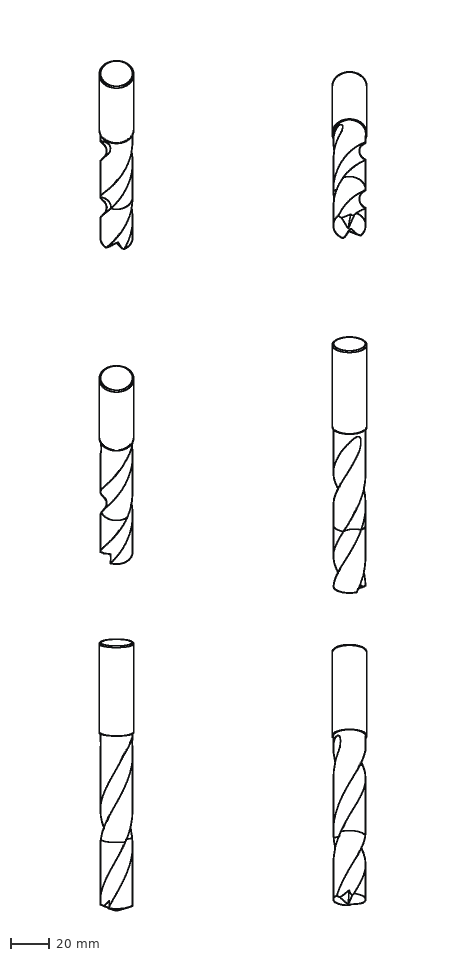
import cadquery as cq
import math

total_length = 143.0
shank_diameter = 18.0
shank_start = 95.1
shank_chamfer = 0.7
cutting_diameter = 16.9
point_angle = 140.0
split_height = 38.3

flute_count = 2
helix_lead = 96.5
flute_radius = 6.9
flute_floor_radius = 5.1
flute_phase_height = 23.3
helix_end = 84.0
runout_end = 91.0
runout_sideways = 5.6
runout_stretch = 1.5
flute_start = -1.5

gash_root = cq.Vector(-0.5, -0.6, 0.6)
gash_apex = cq.Vector(3.1, -5.1, 7.0)
gash_heel_edge = cq.Vector(-1.0, -6.0, 3.0)
gash_lip_edge = cq.Vector(4.7, -5.0, 2.7)
gash_overrun = 0.3
gash_stretch = 2.0

cutting_radius = cutting_diameter / 2
shank_radius = shank_diameter / 2
point_height = cutting_radius / math.tan(math.radians(point_angle / 2))
flute_offset = flute_floor_radius + flute_radius


def flute_angle(height):
    """Direction of the first flute, in degrees about Z, at a given height."""
    return 180 + 360 * (height - flute_phase_height) / helix_lead


def flute_section(height):
    """Circular flute section in the horizontal plane at a given height."""
    angle = math.radians(flute_angle(height))
    return (
        cq.Workplane("XY", origin=(0, 0, height))
        .moveTo(flute_offset * math.cos(angle), flute_offset * math.sin(angle))
        .circle(flute_radius)
    )


def helical_flute():
    """Twisted cutter for one flute, from below the tip to the end of the helix."""
    height = helix_end - flute_start
    return flute_section(flute_start).twistExtrude(height, 360 * height / helix_lead)


def flute_runout():
    """Straight cutter that leads the flute out through the drill surface."""
    rise = runout_end - helix_end
    outward = math.sqrt(cutting_radius**2 - runout_sideways**2) - flute_floor_radius
    angle = math.radians(flute_angle(helix_end))
    direction = cq.Vector(
        outward * math.cos(angle) - runout_sideways * math.sin(angle),
        outward * math.sin(angle) + runout_sideways * math.cos(angle),
        rise,
    )
    section = flute_section(helix_end).wires().val()
    return cq.Workplane(cq.Solid.extrudeLinear(section, [], direction * runout_stretch))


def gash():
    """V-shaped cutter along the line from the gash root to the gash apex."""
    valley = gash_apex - gash_root
    start = gash_root - valley * gash_overrun
    heel_corner = start + (gash_heel_edge - gash_root) * gash_stretch
    lip_corner = start + (gash_lip_edge - gash_root) * gash_stretch
    section = cq.Wire.makePolygon([start, heel_corner, lip_corner], close=True)
    return cq.Workplane(cq.Solid.extrudeLinear(section, [], valley * gash_stretch))


def cut_around(body, cutter):
    """Cut evenly spaced copies of a cutter, one for each flute."""
    for index in range(flute_count):
        body = body.cut(cutter.rotate((0, 0, 0), (0, 0, 1), index * 360 / flute_count))
    return body


def make_cutting_head():
    """Fluted lower part with the conical point and the web gashes."""
    head = (
        cq.Workplane("XZ")
        .lineTo(cutting_radius, point_height)
        .lineTo(cutting_radius, split_height)
        .lineTo(0, split_height)
        .close()
        .revolve(360, (0, 0, 0), (0, 1, 0))
    )
    head = cut_around(head, helical_flute())
    return cut_around(head, gash())


def make_holder():
    """Upper fluted part with the flute runouts and the plain shank."""
    neck = (
        cq.Workplane("XY", origin=(0, 0, split_height))
        .circle(cutting_radius)
        .extrude(shank_start - split_height)
    )
    neck = cut_around(neck, helical_flute())
    neck = cut_around(neck, flute_runout())
    shank = (
        cq.Workplane("XY", origin=(0, 0, shank_start))
        .circle(shank_radius)
        .extrude(total_length - shank_start)
        .faces(">Z")
        .chamfer(shank_chamfer)
    )
    return neck.union(shank)


cutting_head = make_cutting_head()
holder = make_holder()

result = cq.Compound.makeCompound([cutting_head.solids().val(), holder.solids().val()])